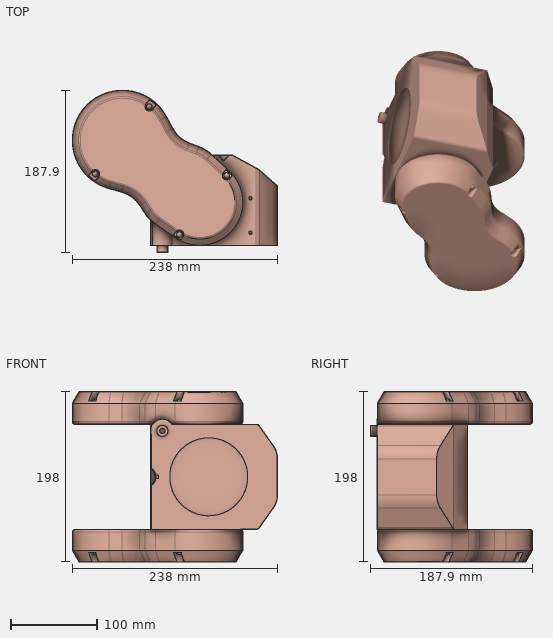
import cadquery as cq
import math


overall_height = 198.0
shell_height = 38.0
gap_half = overall_height / 2 - shell_height

large_radius = 58.0
small_radius = 50.0
lobe_spacing = 115.0
axis_angle = -38.7
large_lobe = (58.0, 122.0)
neck_entry_angle = 23.0
neck_exit_angle = 18.0
neck_u = 49.7
neck_radius = 37.0
crest_radius = 45.2

bevel_height = 13.8
bevel_angle = 30.0
rim_round = 2.1
inner_round = 3.0

screw_spots = [(0.0, 50.0), (120.0, 43.8)]
recess_radius = 5.0
recess_depth = 11.2
screw_radius = 3.3
screw_height = 2.4
screw_overlap = 0.5

pad_radius = 29.0
pad_depth = 2.0
key_width = 4.3
key_height = 7.4
key_depth = 3.5

block_left = 91.0
block_right = 238.0
block_back = 105.0
left_corner = (block_left, 54.3)
left_rear_corner = (102.5, 78.0)
back_left_x = 148.8
back_right_x = 185.6
right_rear_corner = (216.3, 88.3)
right_corner_y = 69.0
left_round = 21.2
left_rear_round = 16.7
edge_break = 0.7

slope_x = 22.4
slope_z = 31.7
shoulder_round = 4.8
nose_round = 26.2

cover_x = 158.3
cover_radius = 45.2
cover_depth = 1.5

boss_radius = 13.5
boss_x = block_left + boss_radius
boss_z = 53.3
boss_length = 47.5
connector_radius = 6.5
connector_length = 7.9
connector_bore = 3.0

groove_x = 85.5
groove_front_radius = 11.7
groove_end_radius = 11.0
groove_length = 30.0
groove_end_round = 1.2
slot_width = 4.3
slot_length = 7.1
slot_floor_x = 100.0

notch_corner = (175.6, 98.3)
notch_radius = 4.8
notch_length = 14.3
notch_angle = 45.0

pin_x = 206.5
pin_spots_y = [15.0, 55.0]
pin_radius = 2.0
pin_depth = 4.8


def unit(angle):
    return (math.cos(math.radians(angle)), math.sin(math.radians(angle)))


def step(point, angle, length):
    """Point reached from `point` by moving `length` along `angle`."""
    direction = unit(angle)
    return (point[0] + length * direction[0], point[1] + length * direction[1])


def rounded_corner(corner, angle_in, angle_out, radius):
    """Start, middle and end of the arc that rounds a corner."""
    half_turn = math.radians(abs(angle_out - angle_in)) / 2
    tangent = radius * math.tan(half_turn)
    corner_gap = radius / math.cos(half_turn) - radius
    side = 90 if angle_out > angle_in else -90
    middle = step(corner, (angle_in + angle_out) / 2 + side, corner_gap)
    return step(corner, angle_in, -tangent), middle, step(corner, angle_out, tangent)


def shell_outline():
    """One side of the figure-eight is worked out; the other is its mirror image."""
    flank_angle = -math.degrees(math.asin((large_radius - small_radius) / lobe_spacing))
    leave = step((0, 0), 90 - neck_entry_angle, large_radius)
    neck = (neck_u, leave[1] - (neck_u - leave[0]) * math.tan(math.radians(neck_entry_angle)))
    land = step((lobe_spacing, 0), 90 + flank_angle, small_radius)
    rise = math.tan(math.radians(neck_exit_angle))
    fall = math.tan(math.radians(flank_angle))
    crest_u = (land[1] - fall * land[0] - neck[1] + rise * neck[0]) / (rise - fall)
    crest = (crest_u, neck[1] + rise * (crest_u - neck[0]))

    neck_arc = rounded_corner(neck, -neck_entry_angle, neck_exit_angle, neck_radius)
    crest_arc = rounded_corner(crest, neck_exit_angle, flank_angle, crest_radius)

    def mirrored(point):
        return (point[0], -point[1])

    return (
        cq.Workplane("XY")
        .moveTo(*leave)
        .lineTo(*neck_arc[0])
        .threePointArc(*neck_arc[1:])
        .lineTo(*crest_arc[0])
        .threePointArc(*crest_arc[1:])
        .lineTo(*land)
        .threePointArc((lobe_spacing + small_radius, 0), mirrored(land))
        .lineTo(*mirrored(crest_arc[2]))
        .threePointArc(mirrored(crest_arc[1]), mirrored(crest_arc[0]))
        .lineTo(*mirrored(neck_arc[2]))
        .threePointArc(mirrored(neck_arc[1]), mirrored(neck_arc[0]))
        .lineTo(*mirrored(leave))
        .threePointArc((-large_radius, 0), leave)
        .close()
    )


def screw(u, v):
    """Domed screw head standing on the recess floor."""
    sphere_radius = (screw_radius**2 + screw_height**2) / (2 * screw_height)
    floor = shell_height - recess_depth
    head = cq.Workplane("XY").sphere(sphere_radius).translate((0, 0, screw_height - sphere_radius))
    keep = cq.Workplane("XY").workplane(offset=-screw_overlap).circle(screw_radius)
    return head.intersect(keep.extrude(screw_height + screw_overlap)).translate((u, v, floor))


def shell():
    """Shell with its inner face on Z = 0, in the local frame."""
    straight_height = shell_height - bevel_height
    body = shell_outline().extrude(straight_height)
    bevel = shell_outline().extrude(bevel_height, taper=bevel_angle)
    body = body.union(bevel.translate((0, 0, straight_height)))
    body = body.faces(">Z").edges().fillet(rim_round)
    body = body.faces("<Z").edges().fillet(inner_round)

    pad = cq.Workplane("XY").circle(pad_radius).extrude(pad_depth)
    body = body.cut(pad)

    floor = cq.Workplane("XY").workplane(offset=shell_height - recess_depth)
    for u, v in screw_spots:
        for side in (1, -1):
            pocket = floor.center(u, side * v).circle(recess_radius).extrude(recess_depth)
            mouth = (
                floor.center(u, side * (v + recess_radius))
                .rect(2 * recess_radius, 2 * recess_radius)
                .extrude(recess_depth)
            )
            body = body.cut(pocket.union(mouth)).union(screw(u, side * v))
    return body


def placed_shell():
    """Upper shell in its final place."""
    turned = shell().rotate((0, 0, 0), (0, 0, 1), axis_angle)
    return turned.translate((large_lobe[0], large_lobe[1], gap_half))


def key_notch():
    """Round-topped notch in the left end of the upper shell."""
    radius = key_width / 2
    notch = cq.Workplane("YZ").rect(key_width, 2 * (key_height - radius)).extrude(key_depth)
    notch = notch.union(
        cq.Workplane("YZ").center(0, key_height - radius).circle(radius).extrude(key_depth)
    )
    return notch.translate((large_lobe[0] - large_radius, large_lobe[1], gap_half))


def edge_at(x, y, z):
    return cq.selectors.NearestToPointSelector((x, y, z))


def block_plan():
    """Block outline seen from above, through the full height of the gap."""
    body = (
        cq.Workplane("XY")
        .workplane(offset=-gap_half)
        .polyline([
            (block_left, 0),
            (block_right, 0),
            (block_right, right_corner_y),
            right_rear_corner,
            (back_right_x, block_back),
            (back_left_x, block_back),
            left_rear_corner,
            left_corner,
        ])
        .close()
        .extrude(2 * gap_half)
    )
    body = body.edges(edge_at(*left_corner, 0)).fillet(left_round)
    body = body.edges(edge_at(*left_rear_corner, 0)).fillet(left_rear_round)
    return body.edges(edge_at(block_left, 0, 0)).chamfer(edge_break)


def block_front():
    """Block outline seen from the front, through its full depth."""
    shoulder = (block_right - slope_x, gap_half)
    nose = (block_right, gap_half - slope_z)
    body = (
        cq.Workplane("XZ")
        .polyline([
            (block_left, -gap_half),
            (shoulder[0], -shoulder[1]),
            (nose[0], -nose[1]),
            nose,
            shoulder,
            (block_left, gap_half),
        ])
        .close()
        .extrude(-block_back)
    )
    for side in (-1, 1):
        for (x, z), radius in ((shoulder, shoulder_round), (nose, nose_round)):
            body = body.edges(edge_at(x, block_back / 2, side * z)).fillet(radius)
    return body


def finger_groove():
    """Conical groove along Y with a rounded blind end, and the slot in its floor."""
    cone = (
        cq.Workplane("XZ")
        .center(groove_x, 0)
        .circle(groove_front_radius)
        .workplane(offset=-groove_length)
        .circle(groove_end_radius)
        .loft(ruled=True)
        .faces(">Y")
        .edges()
        .fillet(groove_end_round)
    )
    slot_end = slot_length - slot_width / 2
    slot = cq.Workplane("YZ").rect(2 * slot_end, slot_width).extrude(slot_floor_x)
    tip = cq.Workplane("YZ").center(slot_end, 0).circle(slot_width / 2).extrude(slot_floor_x)
    return cone.union(slot).union(tip)


def edge_notch():
    """Horizontal cylinder whose axis lies in the top face, with one blind end."""
    cylinder = cq.Workplane("YZ").center(notch_radius, 0).circle(notch_radius).extrude(notch_length)
    turned = cylinder.rotate((0, 0, 0), (0, 0, 1), notch_angle)
    return turned.translate((notch_corner[0], notch_corner[1], gap_half))


def block():
    body = block_plan().intersect(block_front())
    cover = cq.Workplane("XZ").center(cover_x, 0).circle(cover_radius).extrude(-cover_depth)
    pins = (
        cq.Workplane("XY")
        .workplane(offset=gap_half - pin_depth)
        .pushPoints([(pin_x, y) for y in pin_spots_y])
        .circle(pin_radius)
        .extrude(pin_depth)
    )
    return body.cut(cover).cut(finger_groove()).cut(edge_notch()).cut(pins)


def boss():
    """Cable boss running back into the upper shell, with the connector in front of it."""
    plane = cq.Workplane("XZ").center(boss_x, boss_z)
    connector = plane.circle(connector_radius).circle(connector_bore).extrude(connector_length)
    return plane.circle(boss_radius).extrude(-boss_length).union(connector)


upper = placed_shell()
lower = upper.mirror("XY")

result = upper.cut(key_notch()).union(lower).union(block()).union(boss())